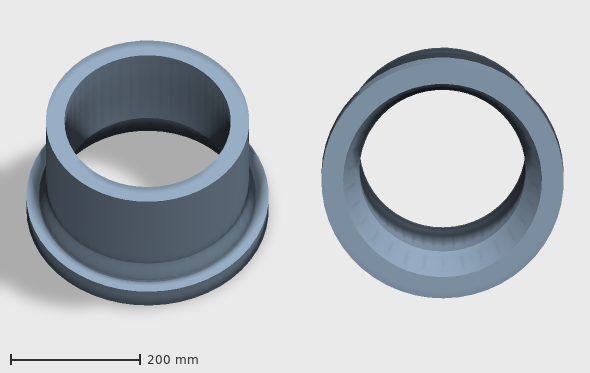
import cadquery as cq

flange_diameter = 375.0
height = 224.0
tube_diameter = 315.0
bore_diameter = 257.2

flange_thickness = 35.0
neck_top = 67.5
neck_base_diameter = 336.8
neck_foot_height = 2.2
neck_foot_flare = 1.5

mouth_diameter = 307.5
mouth_height = 65.0

flange_radius = flange_diameter / 2
tube_radius = tube_diameter / 2
bore_radius = bore_diameter / 2
neck_base_radius = neck_base_diameter / 2
mouth_radius = mouth_diameter / 2

profile = (
    cq.Workplane("XZ")
    .moveTo(mouth_radius, 0)
    .lineTo(flange_radius, 0)
    .lineTo(flange_radius, flange_thickness)
    .lineTo(neck_base_radius, flange_thickness)
    .lineTo(neck_base_radius - neck_foot_flare, flange_thickness + neck_foot_height)
    .lineTo(tube_radius, neck_top)
    .lineTo(tube_radius, height)
    .lineTo(bore_radius, height)
    .lineTo(bore_radius, mouth_height)
    .close()
)

result = profile.revolve(360, (0, 0, 0), (0, 1, 0))